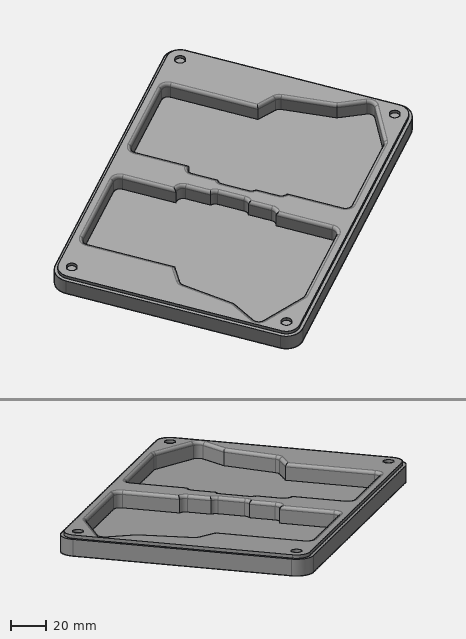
import cadquery as cq

plate_x = 150
plate_y = 200
plate_height = 12
plate_corner_radius = 10
ledge_width = 2
ledge_drop = 2
ledge_z = plate_height - ledge_drop

hole_diameter = 6.2
hole_depth = 2
hole_inset = 10
hole_spacing_x = plate_x - 2 * hole_inset
hole_spacing_y = plate_y - 2 * hole_inset

pocket_depth = 10
pocket_corner_radius = 4
rim_radius = 2
pocket_half_x = 67.2
left_near_y = 11.0
right_near_y = left_near_y - 2
shelf_y = 68.8
shoulder_y = 66.5
step_foot = (-10.2, shelf_y)
step_head = (-2.5, 80.8)
slope_bend = (31.5, 85.5)
peak = (50, 96.2)

wide_scoop_left = -30.8
wide_scoop_right = 29.5
wide_scoop_y = 6
narrow_scoop_half_x = 12
narrow_scoop_y = wide_scoop_y - 2
scoop_back_y = 30

floor_z = plate_height - pocket_depth


def make_plate():
    base = cq.Workplane("XY").rect(plate_x, plate_y).extrude(ledge_z)
    base = base.edges("|Z").fillet(plate_corner_radius)
    top = cq.Workplane("XY").rect(plate_x - 2 * ledge_width, plate_y - 2 * ledge_width).extrude(plate_height)
    top = top.edges("|Z").fillet(plate_corner_radius - ledge_width)
    return base.union(top)


def round_upright_edges(solid, corners):
    """Round the vertical edges that stand at the given XY corners."""
    for corner in corners:
        mid_edge = (corner[0], corner[1], floor_z + pocket_depth / 2)
        solid = solid.edges(cq.selectors.NearestToPointSelector(mid_edge)).fillet(pocket_corner_radius)
    return solid


def make_scoop(left, right, near_y):
    """Block that is open toward the pocket, with its two near corners rounded."""
    scoop = (
        cq.Workplane("XY", origin=(left, near_y, floor_z))
        .box(right - left, scoop_back_y - near_y, pocket_depth, centered=False)
    )
    return scoop.edges("|Z and <Y").fillet(pocket_corner_radius)


def flare_mouth(cutter):
    """Widen a cutter at the top so that it leaves a rounded rim around the opening."""
    block = cq.Workplane("XY", origin=(0, 0, floor_z)).rect(plate_x, plate_y).extrude(pocket_depth)
    rounded = block.cut(cutter)
    mouth = rounded.faces(">Z").wires().vals()[1]
    rounded = rounded.newObject(mouth.Edges()).fillet(rim_radius)
    return block.cut(rounded)


def make_pocket_cutter():
    left_near = (-pocket_half_x, left_near_y)
    right_near = (pocket_half_x, right_near_y)
    left_far = (-pocket_half_x, shelf_y)
    shoulder = (pocket_half_x, shoulder_y)
    outline = [
        left_near,
        (-narrow_scoop_half_x, left_near_y),
        (narrow_scoop_half_x, right_near_y),
        right_near,
        shoulder,
        peak,
        slope_bend,
        step_head,
        step_foot,
        left_far,
    ]
    cutter = cq.Workplane("XY", origin=(0, 0, floor_z)).polyline(outline).close().extrude(pocket_depth)
    cutter = round_upright_edges(cutter, [left_near, right_near, shoulder, peak, step_head, left_far])
    wide_scoop = make_scoop(wide_scoop_left, wide_scoop_right, wide_scoop_y)
    narrow_scoop = make_scoop(-narrow_scoop_half_x, narrow_scoop_half_x, narrow_scoop_y)
    return flare_mouth(cutter).union(flare_mouth(wide_scoop)).union(flare_mouth(narrow_scoop))


def cut_pockets(plate):
    cutter = make_pocket_cutter()
    return plate.cut(cutter).cut(cutter.mirror("XZ"))


def drill_holes(plate):
    return (
        plate.faces(">Z").workplane(origin=(0, 0, plate_height))
        .rect(hole_spacing_x, hole_spacing_y, forConstruction=True)
        .vertices()
        .hole(hole_diameter, hole_depth)
    )


result = drill_holes(cut_pockets(make_plate()))